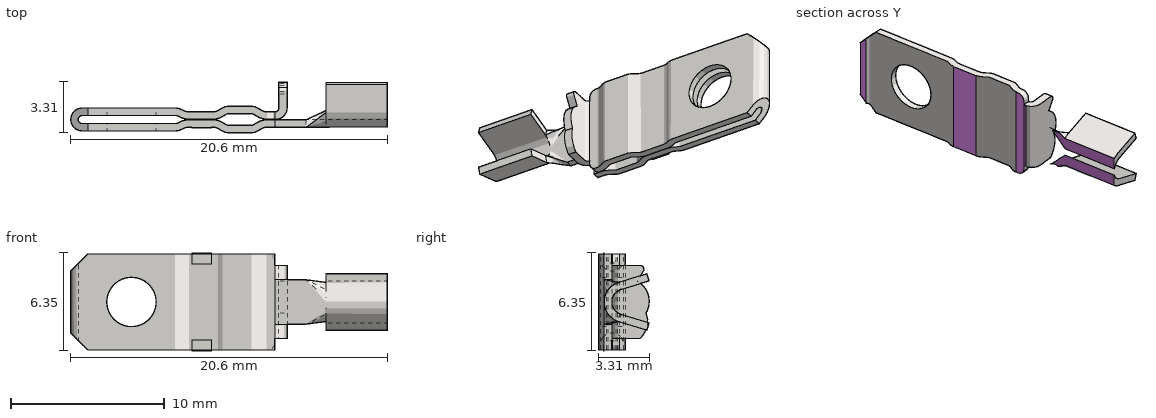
import cadquery as cq
import math

TOTAL_LENGTH = 20.57
SHEET = 0.5

STRIP_WIDTH = 6.25
STRIP_LENGTH = 13.27
FOLD_GAP = 0.51
WAIST_GAP = 0.02
BULGE_GAP = 0.75
FOLD_CHAMFER = 1.11
HOLE_DIAMETER = 3.19
HOLE_X = 3.95
BACK_CORNER_RADIUS = 0.5

WAIST_BEND = (6.8, 7.7, 0.8)
BULGE_BEND = (9.24, 10.22, 0.68)
END_BEND = (11.77, 12.75, 0.68)

PAD_X = 7.88
PAD_LENGTH = 1.25
PAD_WIDTH = 0.7
PAD_THICKNESS = 0.05
PAD_OVERHANG = 0.051

TAB_WIDTH = 4.75
TAB_THICKNESS = 0.55
TAB_INNER_RADIUS = 0.25
TAB_CORNER_RADIUS = 0.25
TAB_FOOT_Y = 1.83
TAB_FOOT_MIDDLE = (2.2, -1.83)
TAB_FOOT_TOP = (2.32, -1.13)
TAB_LOBE_START = (2.22, -0.72)
TAB_LOBE_PEAK = (2.43, 0.05)
TAB_NOTCH_TIP = (1.65, 1.35)
TAB_CORNER_Y = 2.28
TAB_BLANK_REACH = 4.11

NECK_WIDTH = 2.9
NECK_END_X = 15.3
BARREL_X = 16.58
BARREL_RADIUS = 1.34
WING_LENGTH = 1.91
WING_FLARE = 17.0
CORNER_LENGTH = 0.02
CREST_ANGLE = 0.5

SIN_45 = math.sqrt(0.5)
WAIST_INNER_Y = WAIST_GAP / 2
WAIST_OUTER_Y = WAIST_INNER_Y + SHEET
FOLD_OUTER_RADIUS = FOLD_GAP / 2 + SHEET
BARREL_INNER_RADIUS = BARREL_RADIUS - SHEET
BARREL_CENTRE_Y = BARREL_RADIUS - WAIST_OUTER_Y
RIM_ANGLE = math.radians(90 - WING_FLARE)


def s_bend_points(bend, y_start, y_end, depth):
    """Points of an arc-line-arc bend: (middle, end, line end, middle, end).

    `depth` is the distance below the outer face: it shrinks the radius on the crest
    of the bend and grows the radius in its hollow, so the sheet keeps its thickness.
    """
    x_start, x_end, outer_radius = bend
    length = x_end - x_start
    rise = y_end - y_start
    side = math.copysign(1, rise)
    first_radius = outer_radius + side * depth
    second_radius = outer_radius - side * depth
    radius_sum = first_radius + second_radius
    drop = radius_sum - abs(rise)
    angle = math.asin(radius_sum / math.hypot(length, drop)) - math.atan2(drop, length)

    def on_first(turn):
        return (x_start + first_radius * math.sin(turn),
                y_start + side * first_radius * (1 - math.cos(turn)))

    def on_second(turn):
        return (x_end - second_radius * math.sin(turn),
                y_end - side * second_radius * (1 - math.cos(turn)))

    return on_first(angle / 2), on_first(angle), on_second(angle), on_second(angle / 2), (x_end, y_end)


def leaf_face_path(depth):
    """Open path from the fold tip along one face of the back leaf to its end."""
    fold_radius = FOLD_OUTER_RADIUS - depth
    flat_y = fold_radius
    waist_y = WAIST_OUTER_Y - depth
    bulge_y = BULGE_GAP / 2 + SHEET - depth
    diagonal = fold_radius * SIN_45
    path = (
        cq.Workplane("XY")
        .moveTo(FOLD_OUTER_RADIUS - fold_radius, 0)
        .threePointArc((FOLD_OUTER_RADIUS - diagonal, diagonal), (FOLD_OUTER_RADIUS, flat_y))
    )
    bends = (
        (WAIST_BEND, flat_y, waist_y),
        (BULGE_BEND, waist_y, bulge_y),
        (END_BEND, bulge_y, waist_y),
    )
    for bend, y_start, y_end in bends:
        first_mid, first_end, line_end, second_mid, second_end = s_bend_points(bend, y_start, y_end, depth)
        path = (
            path.lineTo(bend[0], y_start)
            .threePointArc(first_mid, first_end)
            .lineTo(*line_end)
            .threePointArc(second_mid, second_end)
        )
    return path.lineTo(STRIP_LENGTH, waist_y)


def envelope(depth):
    """Solid between the mirrored faces lying `depth` below the outer faces of the two leaves."""
    half = leaf_face_path(depth).lineTo(STRIP_LENGTH, 0).close().extrude(STRIP_WIDTH / 2, both=True)
    return half.union(half.mirror("XZ"))


def make_contact_strip():
    strip = envelope(0).cut(envelope(SHEET))
    for side in (1, -1):
        edge_z = side * STRIP_WIDTH / 2
        corner = (
            cq.Workplane("XZ")
            .polyline([(0, edge_z), (FOLD_CHAMFER, edge_z), (0, edge_z - side * FOLD_CHAMFER)])
            .close()
            .extrude(2 * FOLD_OUTER_RADIUS, both=True)
        )
        strip = strip.cut(corner)
    hole = (
        cq.Workplane("XZ")
        .center(HOLE_X, 0)
        .circle(HOLE_DIAMETER / 2)
        .extrude(2 * FOLD_OUTER_RADIUS, both=True)
    )
    strip = strip.cut(hole)
    end_corners = cq.selectors.BoxSelector(
        (STRIP_LENGTH - SHEET, WAIST_INNER_Y, -STRIP_WIDTH),
        (STRIP_LENGTH + SHEET, WAIST_OUTER_Y, STRIP_WIDTH),
    )
    return strip.edges("|Y").edges(end_corners).fillet(BACK_CORNER_RADIUS)


def make_pad(side):
    """Thin pad on the front face at the upper (side = 1) or lower (side = -1) strip edge."""
    outer_z = STRIP_WIDTH / 2 + PAD_OVERHANG
    return cq.Workplane("XY").box(PAD_LENGTH, PAD_THICKNESS, PAD_WIDTH).translate((
        PAD_X + PAD_LENGTH / 2,
        -WAIST_OUTER_Y - PAD_THICKNESS / 2,
        side * (outer_z - PAD_WIDTH / 2),
    ))


def make_stop_tab():
    half_width = TAB_WIDTH / 2
    bend_y = WAIST_OUTER_Y + TAB_INNER_RADIUS
    inner_x = STRIP_LENGTH + TAB_INNER_RADIUS
    outer_x = inner_x + TAB_THICKNESS
    outer_radius = bend_y - WAIST_INNER_Y
    outer_start_x = outer_x - outer_radius
    bent_sheet = (
        cq.Workplane("XY")
        .moveTo(STRIP_LENGTH, WAIST_INNER_Y)
        .lineTo(outer_start_x, WAIST_INNER_Y)
        .threePointArc(
            (outer_start_x + outer_radius * SIN_45, bend_y - outer_radius * SIN_45),
            (outer_x, bend_y),
        )
        .lineTo(outer_x, TAB_BLANK_REACH)
        .lineTo(inner_x, TAB_BLANK_REACH)
        .lineTo(inner_x, bend_y)
        .threePointArc(
            (STRIP_LENGTH + TAB_INNER_RADIUS * SIN_45, bend_y - TAB_INNER_RADIUS * SIN_45),
            (STRIP_LENGTH, WAIST_OUTER_Y),
        )
        .close()
        .extrude(half_width, both=True)
    )
    face_outline = (
        cq.Workplane("YZ")
        .moveTo(0, -half_width)
        .lineTo(TAB_FOOT_Y, -half_width)
        .threePointArc(TAB_FOOT_MIDDLE, TAB_FOOT_TOP)
        .lineTo(*TAB_LOBE_START)
        .threePointArc(TAB_LOBE_PEAK, TAB_NOTCH_TIP)
        .lineTo(TAB_CORNER_Y, half_width)
        .lineTo(0, half_width)
        .close()
        .extrude(TOTAL_LENGTH)
        .edges("|X").edges(">Z").edges(">Y")
        .fillet(TAB_CORNER_RADIUS)
    )
    return bent_sheet.intersect(face_outline)


def bottom_point(radius, angle):
    """Point (Y, Z) on the rounded barrel bottom, `angle` round from its crest."""
    return (
        BARREL_CENTRE_Y - radius * math.cos(angle),
        radius * math.sin(angle),
    )


def wing_tip(radius, side):
    """End (Y, Z) of the straight wing face that continues the bottom of `radius`."""
    rim_y, rim_z = bottom_point(radius, side * RIM_ANGLE)
    return (
        rim_y + WING_LENGTH * math.sin(RIM_ANGLE),
        rim_z + side * WING_LENGTH * math.cos(RIM_ANGLE),
    )


def add_split_bottom(path, radius, side):
    """Follow the rounded bottom from the rim on `side` to the other rim, as rim, crest and rim arcs."""
    crest = math.radians(CREST_ANGLE)
    angles = [side * RIM_ANGLE, side * crest, -side * crest, -side * RIM_ANGLE]
    for start, end in zip(angles, angles[1:]):
        path = path.threePointArc(
            bottom_point(radius, (start + end) / 2),
            bottom_point(radius, end),
        )
    return path


def make_neck():
    return cq.Workplane("XY").box(NECK_END_X - STRIP_LENGTH, SHEET, NECK_WIDTH).translate(
        ((STRIP_LENGTH + NECK_END_X) / 2, -(WAIST_OUTER_Y + WAIST_INNER_Y) / 2, 0)
    )


def make_transition():
    """Flat triangle narrowing to the barrel crest, with a cone fanning out from each neck corner."""
    outer_z = NECK_WIDTH / 2
    inner_z = outer_z - CORNER_LENGTH
    across = [-outer_z, -inner_z, inner_z, outer_z]
    flat_end = [(-WAIST_OUTER_Y, z) for z in across] + [(-WAIST_INNER_Y, z) for z in reversed(across)]
    round_end = (
        cq.Workplane("YZ", origin=(NECK_END_X, 0, 0))
        .polyline(flat_end)
        .close()
        .workplane(offset=BARREL_X - NECK_END_X)
        .moveTo(*bottom_point(BARREL_RADIUS, -RIM_ANGLE))
    )
    round_end = add_split_bottom(round_end, BARREL_RADIUS, -1)
    round_end = round_end.lineTo(*bottom_point(BARREL_INNER_RADIUS, RIM_ANGLE))
    return add_split_bottom(round_end, BARREL_INNER_RADIUS, 1).close().loft(ruled=True)


def make_barrel():
    """Rounded bottom with two flared wings, open at the back."""
    return (
        cq.Workplane("YZ", origin=(BARREL_X, 0, 0))
        .moveTo(*wing_tip(BARREL_RADIUS, -1))
        .lineTo(*bottom_point(BARREL_RADIUS, -RIM_ANGLE))
        .threePointArc(bottom_point(BARREL_RADIUS, 0), bottom_point(BARREL_RADIUS, RIM_ANGLE))
        .lineTo(*wing_tip(BARREL_RADIUS, 1))
        .lineTo(*wing_tip(BARREL_INNER_RADIUS, 1))
        .lineTo(*bottom_point(BARREL_INNER_RADIUS, RIM_ANGLE))
        .threePointArc(
            bottom_point(BARREL_INNER_RADIUS, 0),
            bottom_point(BARREL_INNER_RADIUS, -RIM_ANGLE),
        )
        .lineTo(*wing_tip(BARREL_INNER_RADIUS, -1))
        .close()
        .extrude(TOTAL_LENGTH - BARREL_X)
    )


def make_crimp_neck():
    return make_neck().union(make_transition()).union(make_barrel())


contact_strip = make_contact_strip()
pads = [make_pad(side) for side in (1, -1)]
stop_tab = make_stop_tab()
crimp_neck = make_crimp_neck()

result = cq.Compound.makeCompound([
    contact_strip.solids().val(),
    *[pad.val() for pad in pads],
    stop_tab.solids().val(),
    crimp_neck.solids().val(),
])